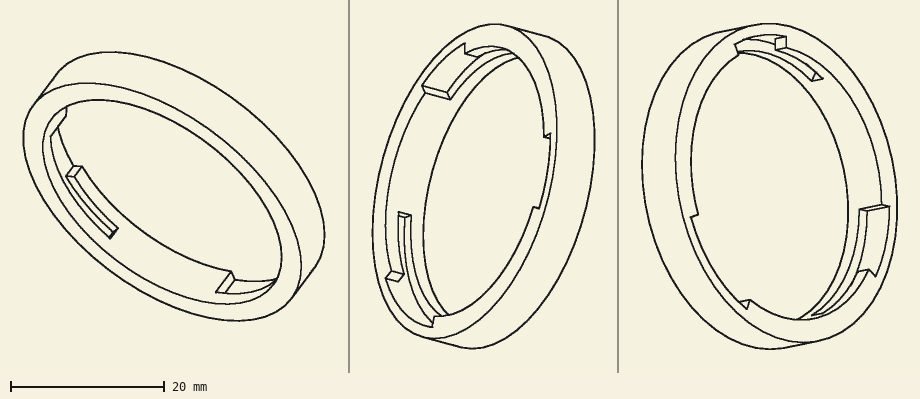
import cadquery as cq

outer_radius = 21.0
wall = 3.0
inner_radius = outer_radius - wall
width = 6.0

recess_depth = wall / 2
band_width = width / 3

key_entry_centre = -45
recess_spacing = 120
key_entry_angle = 45
plain_entry_angle = 30
entry_angles = [key_entry_angle, plain_entry_angle, plain_entry_angle]
tab_angle = 30

front = -width / 2
slot_front = front + band_width
slot_back = slot_front + band_width
back = width / 2


def bore_sector(start_angle, end_angle, y_front, y_back):
    """Annular sector between the bore and the recess floor."""
    floor_radius = inner_radius + recess_depth
    profile_inner_radius = inner_radius - recess_depth
    sector = (
        cq.Workplane("XY")
        .moveTo(profile_inner_radius, y_front)
        .lineTo(floor_radius, y_front)
        .lineTo(floor_radius, y_back)
        .lineTo(profile_inner_radius, y_back)
        .close()
        .revolve(end_angle - start_angle, (0, 0, 0), (0, -1, 0))
    )
    return sector.rotate((0, 0, 0), (0, -1, 0), start_angle)


def bayonet_recess(entry_centre, entry_angle):
    """Entry open to the back, leading into a locking slot in front of a tab."""
    entry_start = entry_centre - entry_angle / 2
    entry_end = entry_centre + entry_angle / 2
    entry = bore_sector(entry_start, entry_end, slot_front, back)
    slot = bore_sector(entry_start, entry_end + tab_angle, slot_front, slot_back)
    return entry.union(slot)


result = (
    cq.Workplane("XZ", origin=(0, back, 0))
    .circle(outer_radius)
    .circle(inner_radius)
    .extrude(width)
)

for index, entry_angle in enumerate(entry_angles):
    entry_centre = key_entry_centre + index * recess_spacing
    result = result.cut(bayonet_recess(entry_centre, entry_angle))